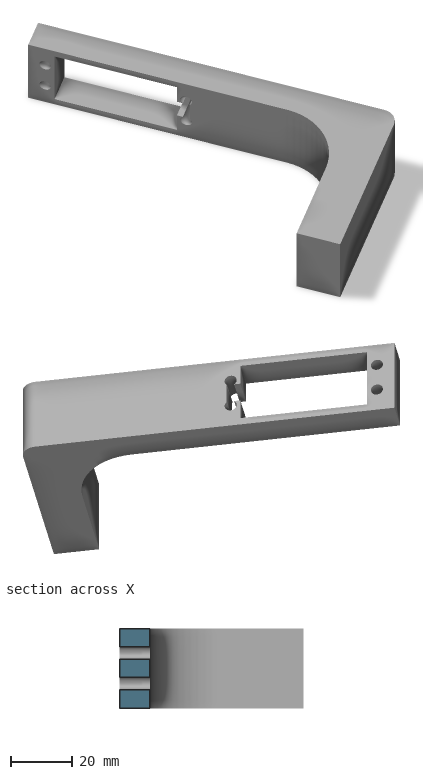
import cadquery as cq

length = 124.0
depth = 60.0
height = 26.0
arm_thickness = 10.0
leg_thickness = 15.0
inner_radius = 20.0
outer_radius = 5.0

window_start = 9.0
window_length = 42.0
window_height = 21.0
window_end = window_start + window_length
notch_depth = 4.6
notch_height = 6.7

hole_diameter = 4.0
first_hole_x = 5.8
hole_spacing_x = 48.5
hole_spacing_z = 9.9

mid_height = height / 2
arm_front = depth - arm_thickness
leg_left = length - leg_thickness


def make_bracket():
    """L-shaped body with a rounded inside and outside corner."""
    body = (
        cq.Workplane("XY")
        .moveTo(0, depth)
        .lineTo(length, depth)
        .lineTo(length, 0)
        .lineTo(leg_left, 0)
        .lineTo(leg_left, arm_front)
        .lineTo(0, arm_front)
        .close()
        .extrude(height)
    )
    inside_corner = cq.selectors.NearestToPointSelector((leg_left, arm_front, mid_height))
    outside_corner = cq.selectors.NearestToPointSelector((length, depth, mid_height))
    return body.edges(inside_corner).fillet(inner_radius).edges(outside_corner).fillet(outer_radius)


def arm_cutter(x_start, size_x, size_z):
    """Box through the arm thickness, centred on the mid height."""
    return (
        cq.Workplane("XY")
        .box(size_x, arm_thickness, size_z, centered=(False, False, True))
        .translate((x_start, arm_front, mid_height))
    )


def hole_cutters():
    """Four cylinders through the arm thickness."""
    return (
        cq.Workplane("XZ", origin=(first_hole_x + hole_spacing_x / 2, depth, mid_height))
        .rarray(hole_spacing_x, hole_spacing_z, 2, 2)
        .circle(hole_diameter / 2)
        .extrude(arm_thickness)
    )


result = (
    make_bracket()
    .cut(arm_cutter(window_start, window_length, window_height))
    .cut(arm_cutter(window_end, notch_depth, notch_height))
    .cut(hole_cutters())
)